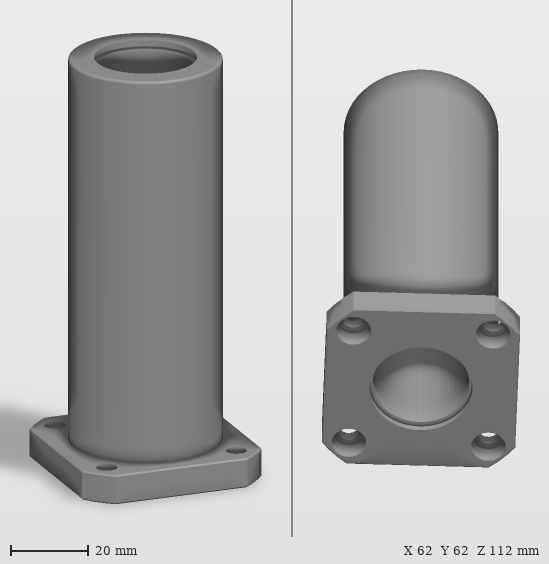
import cadquery as cq

total_length = 112.0
body_diameter = 40.0
body_edge_radius = 0.8

flange_diameter = 62.0
flange_square = 50.0
flange_square_angle = 45.0
flange_thickness = 8.0
flange_chamfer = 0.4

bore_diameter = 25.0
lip_diameter = 26.6
lip_depth = 1.6
groove_diameter = 28.2
groove_width = 0.8

hole_diameter = 5.5
hole_circle_diameter = 51.0
hole_count = 4
counterbore_diameter = 9.0
counterbore_depth = 5.1


def cylinder(diameter, height, base=0.0):
    return cq.Workplane("XY").workplane(offset=base).circle(diameter / 2).extrude(height)


def make_flange():
    square = (
        cq.Workplane("XY")
        .rect(flange_square, flange_square)
        .extrude(flange_thickness)
        .rotate((0, 0, 0), (0, 0, 1), flange_square_angle)
    )
    trimmed_disc = cylinder(flange_diameter, flange_thickness).intersect(square)
    return trimmed_disc.faces("<Z or >Z").chamfer(flange_chamfer)


def make_body():
    return cylinder(body_diameter, total_length).faces(">Z").edges().fillet(body_edge_radius)


def cut_bore(part):
    part = part.cut(cylinder(bore_diameter, total_length))
    bottom_seat = cylinder(lip_diameter, lip_depth).union(
        cylinder(groove_diameter, groove_width, base=lip_depth)
    )
    top_seat = bottom_seat.mirror("XY").translate((0, 0, total_length))
    return part.cut(bottom_seat).cut(top_seat)


def hole_pattern(diameter, depth):
    return (
        cq.Workplane("XY")
        .polarArray(hole_circle_diameter / 2, 0, 360, hole_count)
        .circle(diameter / 2)
        .extrude(depth)
    )


def cut_mounting_holes(part):
    holes = hole_pattern(hole_diameter, flange_thickness)
    counterbores = hole_pattern(counterbore_diameter, counterbore_depth)
    return part.cut(holes).cut(counterbores)


result = make_flange().union(make_body())
result = cut_bore(result)
result = cut_mounting_holes(result)